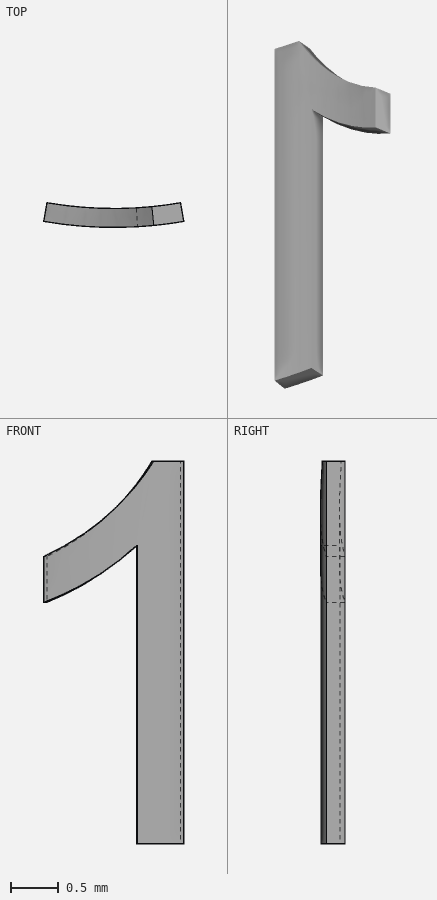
import cadquery as cq

height = 4.01
half_width = 0.745
outer_radius = 4.3
thickness = 0.2
inner_radius = outer_radius - thickness

stem_left = 0.25
top_left = 0.42
flag_tip_top = 3.01
flag_tip_bottom = 2.53
crotch_height = 3.128
flag_middle = -0.072
upper_bow_height = 3.435
lower_bow_height = 2.875

clearance = 0.2


def outline_at(distance):
    """Numeral outline on an XZ plane in front of the axis, widened in proportion to distance."""
    spread = distance / outer_radius

    def point(x, z):
        return (x * spread, z)

    return (
        cq.Workplane("XZ", origin=(0, -distance, 0))
        .moveTo(*point(stem_left, 0))
        .lineTo(*point(half_width, 0))
        .lineTo(*point(half_width, height))
        .lineTo(*point(top_left, height))
        .threePointArc(point(flag_middle, upper_bow_height), point(-half_width, flag_tip_top))
        .lineTo(*point(-half_width, flag_tip_bottom))
        .threePointArc(point(flag_middle, lower_bow_height), point(stem_left, crotch_height))
        .close()
        .val()
    )


back_outline = outline_at(inner_radius - clearance)
front_outline = outline_at(outer_radius + clearance)
wedge = cq.Workplane(cq.Solid.makeLoft([back_outline, front_outline], True))

shell = cq.Workplane("XY").circle(outer_radius).circle(inner_radius).extrude(height)

result = wedge.intersect(shell)